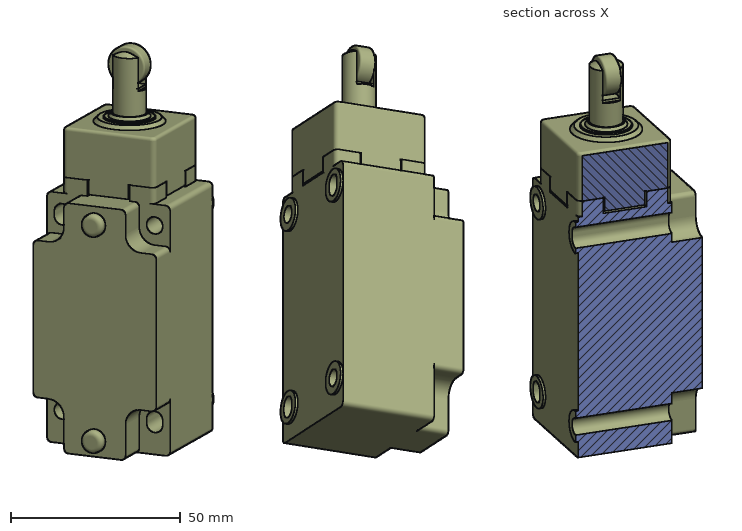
import cadquery as cq


housing_width = 40.0
housing_height = 76.5
back_y = 15.2
front_y = -24.5
housing_depth = back_y - front_y
corner_radius = 1.5
head_width = 30.0
overlap = 1.0

notch_floor_y = back_y - head_width
notch_inner_x = 10.0
notch_end_offset = 24.0
notch_inner_radius = 5.0
notch_outer_radius = 1.5

hole_x = 15.0
hole_low_z = 10.0
hole_high_z = 70.0
hole_mid_z = (hole_low_z + hole_high_z) / 2
hole_diameter = 5.2
slot_length = 6.5
pad_diameter = 10.0
pad_thickness = 0.8

screw_heights = (5.0, 71.0)
screw_diameter = 7.0
screw_head_height = 2.8
screw_edge_radius = 1.5

head_center_y = back_y - head_width / 2
head_top_z = 96.6
head_top_radius = 1.0
post_top_z = 81.4
post_gap = 13.7
tongue_width = 12.9
tongue_bottom_z = 77.0

flange_radius = 10.7
flange_top_radius = 9.5
flange_top_z = 97.8
disk_radius = 7.8
disk_top_radius = 7.5
disk_top_z = 98.2
collar_radius = 6.3
collar_top_radius = 5.5
collar_top_z = 99.2

roller_diameter = 12.0
roller_width = 5.0
roller_edge_radius = 0.6
roller_top_z = 119.9
roller_axis_z = roller_top_z - roller_diameter / 2

plunger_radius = 5.0
plunger_bottom_z = head_top_z
shoulder_z = 117.0
nose_radius = 2.0
nose_top_z = 119.0
fork_gap = 5.7
fork_floor_z = 107.6
flat_bottom_z = 106.8
flat_half_width = (plunger_radius**2 - (fork_gap / 2) ** 2) ** 0.5


def box_between(x_range, y_range, z_range):
    """Axis-aligned box spanning the given ranges."""
    size = [end - start for start, end in (x_range, y_range, z_range)]
    corner = (x_range[0], y_range[0], z_range[0])
    return cq.Workplane("XY").box(*size, centered=False).translate(corner)


def front_plane(y):
    """Sketch plane facing -Y with local X = X and local Y = Z."""
    return cq.Workplane("XZ", origin=(0, y, 0))


def make_cover_layer():
    """Front layer of the housing: the block outline less its four corner notches."""
    half = housing_width / 2
    low_z = hole_mid_z - notch_end_offset
    high_z = hole_mid_z + notch_end_offset
    wide = box_between((-half, half), (front_y, notch_floor_y), (low_z, high_z))
    wide = wide.edges("|Y").fillet(notch_outer_radius)
    narrow = box_between(
        (-notch_inner_x, notch_inner_x), (front_y, notch_floor_y), (0, housing_height)
    )
    narrow = narrow.edges("|Y").fillet(notch_outer_radius)
    layer = wide.union(narrow)

    inner_corners = cq.selectors.BoxSelector(
        (-notch_inner_x - overlap, front_y - overlap, low_z - overlap),
        (notch_inner_x + overlap, back_y, high_z + overlap),
    )
    long_edges = layer.edges("|Y").edges(inner_corners)
    at_corner = long_edges.filter(
        lambda edge: min(abs(edge.Center().z - low_z), abs(edge.Center().z - high_z)) < overlap
    )
    return at_corner.fillet(notch_inner_radius)


def make_head_prism(bottom_z, top_z):
    """Square prism with the plan outline of the head, rounded at its upright edges."""
    half = head_width / 2
    prism = box_between((-half, half), (head_center_y - half, head_center_y + half), (bottom_z, top_z))
    return prism.edges("|Z").fillet(corner_radius)


def make_posts():
    """Four corner posts that rise from the housing, flush with the sides of the head."""
    posts = make_head_prism(housing_height - overlap, post_top_z)
    return posts.cut(make_cross(post_gap, housing_height - overlap, post_top_z))


def make_cross(width, bottom_z, top_z):
    """Plus-shaped prism as long as the head along X and Y."""
    half = head_width / 2
    arm = width / 2
    z_range = (bottom_z, top_z)
    along_x = box_between((-half, half), (-arm, arm), z_range)
    along_y = box_between((-arm, arm), (-half, half), z_range)
    return along_x.union(along_y).translate((0, head_center_y, 0))


def make_housing():
    """Housing with cover, posts, rear pads, mounting holes and screw heads."""
    half = housing_width / 2
    body = box_between((-half, half), (notch_floor_y, back_y), (0, housing_height))
    body = body.edges("|Y").fillet(corner_radius)
    body = body.union(make_cover_layer()).union(make_posts())

    hole_points = [(x, z) for x in (-hole_x, hole_x) for z in (hole_low_z, hole_high_z)]
    pads = front_plane(back_y + pad_thickness).pushPoints(hole_points)
    body = body.union(pads.circle(pad_diameter / 2).extrude(pad_thickness + overlap))

    hole_start = front_plane(back_y + pad_thickness)
    hole_depth = housing_depth + pad_thickness
    round_points = [(hole_x, hole_high_z), (-hole_x, hole_low_z)]
    slot_points = [(-hole_x, hole_high_z), (hole_x, hole_low_z)]
    body = body.cut(hole_start.pushPoints(round_points).circle(hole_diameter / 2).extrude(hole_depth))
    body = body.cut(
        hole_start.pushPoints(slot_points).slot2D(slot_length, hole_diameter, 90).extrude(hole_depth)
    )

    for z in screw_heights:
        screw = front_plane(front_y + overlap).center(0, z).circle(screw_diameter / 2)
        screw = screw.extrude(screw_head_height + overlap).faces("<Y").edges().fillet(screw_edge_radius)
        body = body.union(screw)
    return body


def make_head():
    """Square head with a cross-shaped tongue between the posts, a bushing and the plunger bore."""
    block = make_head_prism(post_top_z, head_top_z).faces(">Z").edges().fillet(head_top_radius)
    tongue = make_cross(tongue_width, tongue_bottom_z, post_top_z + overlap)
    bushing_profile = [
        (plunger_radius, head_top_z - overlap),
        (flange_radius, head_top_z - overlap),
        (flange_radius, head_top_z),
        (flange_top_radius, flange_top_z),
        (disk_radius, flange_top_z),
        (disk_top_radius, disk_top_z),
        (collar_radius, disk_top_z),
        (collar_top_radius, collar_top_z),
        (plunger_radius, collar_top_z),
    ]
    bushing = cq.Workplane("XZ").polyline(bushing_profile).close().revolve(360, (0, 0), (0, 1))
    return block.union(tongue).union(bushing)


def make_plunger():
    """Round plunger with a conical nose, forked along X to hold the roller."""
    profile = [
        (0, plunger_bottom_z),
        (plunger_radius, plunger_bottom_z),
        (plunger_radius, shoulder_z),
        (nose_radius, nose_top_z),
        (0, nose_top_z),
    ]
    plunger = cq.Workplane("XZ").polyline(profile).close().revolve(360, (0, 0), (0, 1))
    reach = plunger_radius + overlap
    fork_y = (-fork_gap / 2, fork_gap / 2)
    plunger = plunger.cut(box_between((-reach, reach), fork_y, (fork_floor_z, roller_top_z)))
    for x_range in ((-reach, -flat_half_width), (flat_half_width, reach)):
        plunger = plunger.cut(box_between(x_range, (-reach, reach), (flat_bottom_z, roller_top_z)))
    return plunger


def make_roller():
    """Roller disk with rounded rims, turning about an axis along Y."""
    disk = front_plane(roller_width / 2).center(0, roller_axis_z).circle(roller_diameter / 2)
    return disk.extrude(roller_width).edges().fillet(roller_edge_radius)


housing = make_housing().solids()
head = make_head().solids()
plunger = make_plunger().solids()
roller = make_roller().solids()

result = cq.Compound.makeCompound([housing.val(), head.val(), plunger.val(), roller.val()])